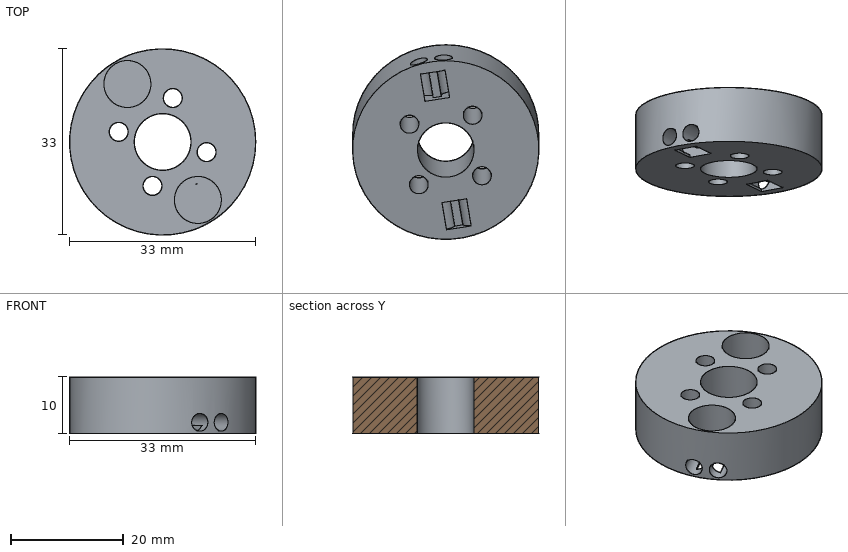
import cadquery as cq

disc_diameter = 33
disc_height = 10.0
bore_diameter = 10.0

bolt_hole_count = 4
bolt_hole_diameter = 3.3
bolt_circle_radius = 8.0
bolt_start_angle = 77

pocket_diameter = 8.3
pocket_circle_radius = 12.0
pocket_angle = 121.3
pocket_floor_height = 4.0

side_hole_diameter = 3.1
side_hole_offset = 2.2
side_hole_height = 2.0

slot_radial_length = 5.08
slot_width = 2 * side_hole_offset
slot_depth = 1.5

side_hole_depth = disc_diameter / 2 - (pocket_circle_radius - slot_radial_length / 2)


def make_disc():
    return cq.Workplane("XY").circle(disc_diameter / 2).circle(bore_diameter / 2).extrude(disc_height)


def make_bolt_holes():
    return (
        cq.Workplane("XY")
        .polarArray(bolt_circle_radius, bolt_start_angle, 360, bolt_hole_count)
        .circle(bolt_hole_diameter / 2)
        .extrude(disc_height)
    )


def make_pocket_group(angle):
    """Pocket, its two side holes and its slot, made on the +X side and turned to the given angle."""
    pocket = (
        cq.Workplane("XY", origin=(pocket_circle_radius, 0, pocket_floor_height))
        .circle(pocket_diameter / 2)
        .extrude(disc_height - pocket_floor_height)
    )
    side_holes = (
        cq.Workplane("YZ", origin=(disc_diameter / 2, 0, 0))
        .pushPoints([(-side_hole_offset, side_hole_height), (side_hole_offset, side_hole_height)])
        .circle(side_hole_diameter / 2)
        .extrude(-side_hole_depth)
    )
    slot = (
        cq.Workplane("XY", origin=(pocket_circle_radius, 0, 0))
        .rect(slot_radial_length, slot_width)
        .extrude(slot_depth)
    )
    return pocket.union(side_holes).union(slot).rotate((0, 0, 0), (0, 0, 1), angle)


result = make_disc().cut(make_bolt_holes())
for angle in (pocket_angle, pocket_angle + 180):
    result = result.cut(make_pocket_group(angle))